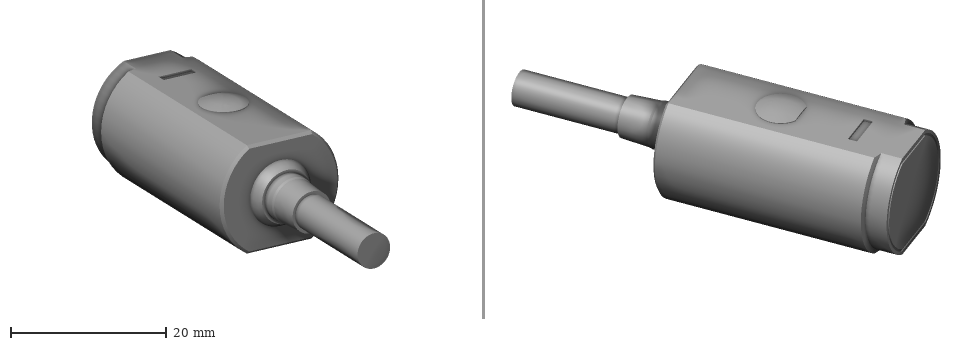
import cadquery as cq
import math

total_length = 56
overall_height = 15.7
nose_length = 2.95
body_end = 33.0

body_radius = 8.99
nose_radius = 8.35
flat_height = 7.55
front_chamfer_length = 0.4
rear_chamfer = 0.4

groove_outer_radius = 7.9
groove_outer_height = 7.0
groove_width = 0.35
groove_depth = 0.15

collar_radius = 4.6
collar_bend_x = 33.3
collar_bend_radius = 4.4
collar_end_x = 34.55
collar_end_radius = 3.75
boot_radius = 3.3
boot_taper_x = 35.15
boot_step_x = 36.1
boot_step_radius = 3.25
boot_bend_x = 36.5
boot_bend_radius = 3.15
boot_end_x = 40.7
boot_end_radius = 2.9
cable_radius = 2.45

button_x = 18.9
button_radius = 3.3
button_height = overall_height - 2 * flat_height
button_rim_height = 0.1
button_front_x = 16.0

slot_x = 7.55
slot_length = 4.9
slot_width = 1.3
slot_depth = 0.35


def revolve_about_x(profile):
    """Solid of revolution from (x, radius) points that start and end on the axis."""
    return cq.Workplane("XY").polyline(profile).close().revolve(360, (0, 0, 0), (1, 0, 0))


def make_housing():
    housing = revolve_about_x([
        (0, 0),
        (0, nose_radius),
        (nose_length, nose_radius),
        (nose_length + front_chamfer_length, body_radius),
        (body_end, body_radius),
        (body_end, 0),
    ])
    between_flats = cq.Workplane("XY").box(
        body_end, 2 * body_radius, 2 * flat_height, centered=(False, True, True)
    )
    return housing.intersect(between_flats).faces(">X").edges().chamfer(rear_chamfer)


def make_face_plug(radius, half_height):
    """Disc with two flats at the front face, as deep as the ring groove."""
    half_flat = math.sqrt(radius**2 - half_height**2)
    return (
        cq.Workplane("YZ")
        .moveTo(-half_flat, half_height)
        .lineTo(half_flat, half_height)
        .threePointArc((radius, 0), (half_flat, -half_height))
        .lineTo(-half_flat, -half_height)
        .threePointArc((-radius, 0), (-half_flat, half_height))
        .close()
        .extrude(groove_depth)
    )


def make_boot_and_cable():
    return revolve_about_x([
        (body_end, 0),
        (body_end, collar_radius),
        (collar_bend_x, collar_bend_radius),
        (collar_end_x, collar_end_radius),
        (collar_end_x, boot_radius),
        (boot_taper_x, boot_radius),
        (boot_step_x, boot_step_radius),
        (boot_bend_x, boot_bend_radius),
        (boot_end_x, boot_end_radius),
        (boot_end_x, cable_radius),
        (total_length, cable_radius),
        (total_length, 0),
    ])


def make_button():
    cap_height = button_height - button_rim_height
    sphere_radius = (button_radius**2 + cap_height**2) / (2 * cap_height)
    sphere_z = flat_height + button_height - sphere_radius
    sphere = cq.Workplane("XY").sphere(sphere_radius).translate((button_x, 0, sphere_z))
    disc = cq.Workplane("XY", origin=(button_x, 0, flat_height)).circle(button_radius).extrude(button_height)
    trim = cq.Workplane("XY", origin=(button_front_x, 0, flat_height)).box(
        button_x + button_radius - button_front_x,
        2 * button_radius,
        button_height,
        centered=(False, True, False),
    )
    return disc.intersect(sphere).intersect(trim)


def make_slot():
    return (
        cq.Workplane("XY", origin=(slot_x, 0, flat_height - slot_depth))
        .rect(slot_width, slot_length)
        .extrude(slot_depth)
    )


groove_outside = make_face_plug(groove_outer_radius, groove_outer_height)
groove_inside = make_face_plug(groove_outer_radius - groove_width, groove_outer_height - groove_width)
groove = groove_outside.cut(groove_inside)
result = make_housing().cut(groove).cut(make_slot())
result = result.union(make_boot_and_cable()).union(make_button())